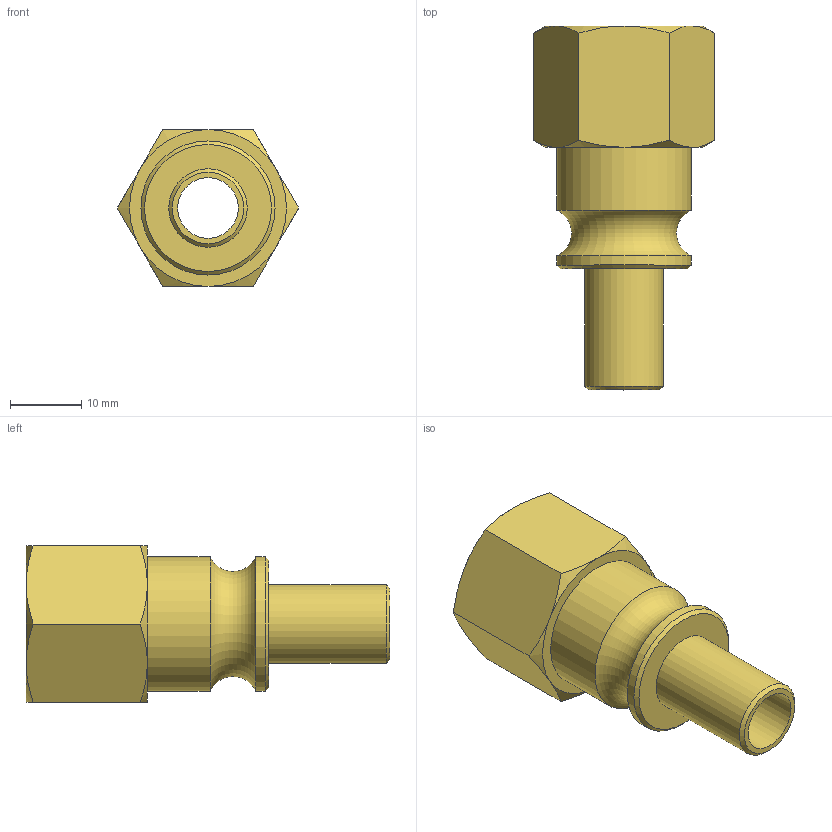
import cadquery as cq
import math

overall_length = 51.0

hex_across_flats = 22.0
hex_length = 17.0
hex_sides = 6
hex_chamfer_angle = 30.0

body_diameter = 18.8
stem_diameter = 11.0
stem_length = 17.0
stem_chamfer = 0.5
bore_diameter = 8.5

flange_chamfer = 0.5
flange_thickness = 1.8
groove_width = 6.4
groove_floor_diameter = 14.7

hex_start = overall_length - hex_length
hex_across_corners = hex_across_flats / math.cos(math.pi / hex_sides)
groove_start = stem_length + flange_thickness
groove_middle = groove_start + groove_width / 2
groove_end = groove_start + groove_width
body_radius = body_diameter / 2
stem_radius = stem_diameter / 2


def make_turned_body():
    """Stem, flange, groove and collar revolved from one half profile (radius, y)."""
    profile = (
        cq.Workplane("XY")
        .moveTo(0, 0)
        .lineTo(stem_radius - stem_chamfer, 0)
        .lineTo(stem_radius, stem_chamfer)
        .lineTo(stem_radius, stem_length)
        .lineTo(body_radius - flange_chamfer, stem_length)
        .lineTo(body_radius, stem_length + flange_chamfer)
        .lineTo(body_radius, groove_start)
        .threePointArc((groove_floor_diameter / 2, groove_middle), (body_radius, groove_end))
        .lineTo(body_radius, hex_start)
        .lineTo(0, hex_start)
        .close()
    )
    return profile.revolve(360, (0, 0, 0), (0, 1, 0))


def make_hexagon():
    """Hexagon with corners on the X axis, both ends chamfered by a cone."""
    prism = (
        cq.Workplane("XZ", origin=(0, hex_start, 0))
        .polygon(hex_sides, hex_across_corners)
        .extrude(-hex_length)
    )
    flat_radius = hex_across_flats / 2
    corner_radius = hex_across_corners / 2
    chamfer_length = (corner_radius - flat_radius) * math.tan(math.radians(hex_chamfer_angle))
    envelope = (
        cq.Workplane("XY")
        .moveTo(0, hex_start)
        .lineTo(flat_radius, hex_start)
        .lineTo(corner_radius, hex_start + chamfer_length)
        .lineTo(corner_radius, overall_length - chamfer_length)
        .lineTo(flat_radius, overall_length)
        .lineTo(0, overall_length)
        .close()
        .revolve(360, (0, 0, 0), (0, 1, 0))
    )
    return prism.intersect(envelope)


def make_bore():
    """Cylinder for the bore through the full length."""
    return cq.Workplane("XZ").circle(bore_diameter / 2).extrude(-overall_length)


result = make_turned_body().union(make_hexagon()).cut(make_bore())